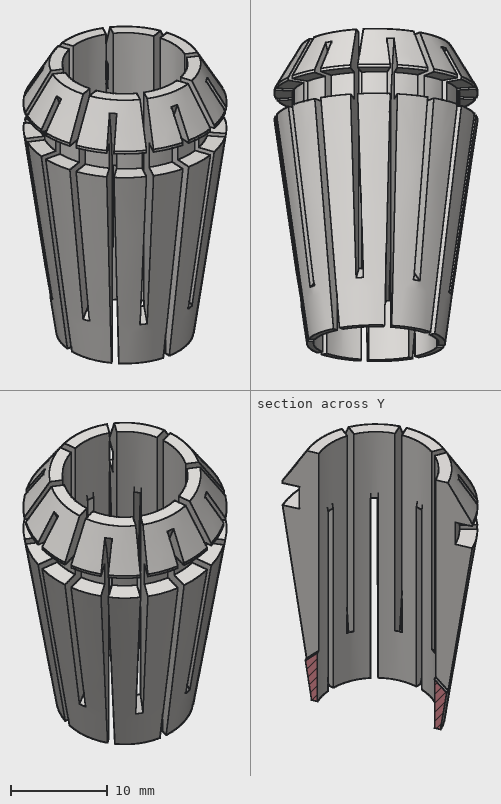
import cadquery as cq
import math

length = 31.5
bore_radius = 6.45
shoulder_radius = 10.5
body_top = 23.85
body_taper = math.tan(math.radians(8.0))
bottom_radius = shoulder_radius - body_top * body_taper
groove_radius = 8.63
head_bottom = 26.65
rim_height = 0.3
rim_top = head_bottom + rim_height
top_radius = 7.8
nose_taper = (shoulder_radius - top_radius) / (length - rim_top)

slot_count = 8
slot_spacing = 360.0 / slot_count
slot_width = 0.75
top_slot_floor = 4.9
bottom_slot_end = 30.3
bottom_slot_bore_end = 23.0
bottom_slot_end_bow = 0.25

overshoot = 1.58
cutter_inner = bore_radius - overshoot
cutter_outer = shoulder_radius + overshoot


def collet_blank():
    """Revolved sleeve: tapered body, groove, rim and nose cone around a straight bore."""
    profile = [
        (bore_radius, 0),
        (bottom_radius, 0),
        (shoulder_radius, body_top),
        (groove_radius, body_top),
        (groove_radius, head_bottom),
        (shoulder_radius, head_bottom),
        (shoulder_radius, rim_top),
        (top_radius, length),
        (bore_radius, length),
    ]
    return cq.Workplane("XZ").polyline(profile).close().revolve(360, (0, 0, 0), (0, 1, 0))


def top_slot():
    """Slot open at the top, its floor falling outwards at 45 degrees."""
    floor_radius = bottom_radius + top_slot_floor * body_taper
    outline = [
        (cutter_inner, top_slot_floor + floor_radius - cutter_inner),
        (cutter_outer, top_slot_floor + floor_radius - cutter_outer),
        (cutter_outer, length + overshoot),
        (cutter_inner, length + overshoot),
    ]
    return cq.Workplane("XZ").polyline(outline).close().extrude(slot_width / 2, both=True)


def bottom_slot():
    """Slot open at the bottom, its end an arc from the bore out to the nose cone."""
    end_radius = top_radius + (length - bottom_slot_end) * nose_taper
    return (
        cq.Workplane("XZ")
        .moveTo(cutter_outer, -overshoot)
        .lineTo(cutter_inner, -overshoot)
        .lineTo(cutter_inner, bottom_slot_bore_end)
        .lineTo(bore_radius, bottom_slot_bore_end)
        .sagittaArc((end_radius, bottom_slot_end), bottom_slot_end_bow)
        .lineTo(cutter_outer, bottom_slot_end)
        .close()
        .extrude(slot_width / 2, both=True)
    )


result = collet_blank()
for index in range(slot_count):
    angle = index * slot_spacing
    result = result.cut(top_slot().rotate((0, 0, 0), (0, 0, 1), angle))
    result = result.cut(bottom_slot().rotate((0, 0, 0), (0, 0, 1), angle + slot_spacing / 2))